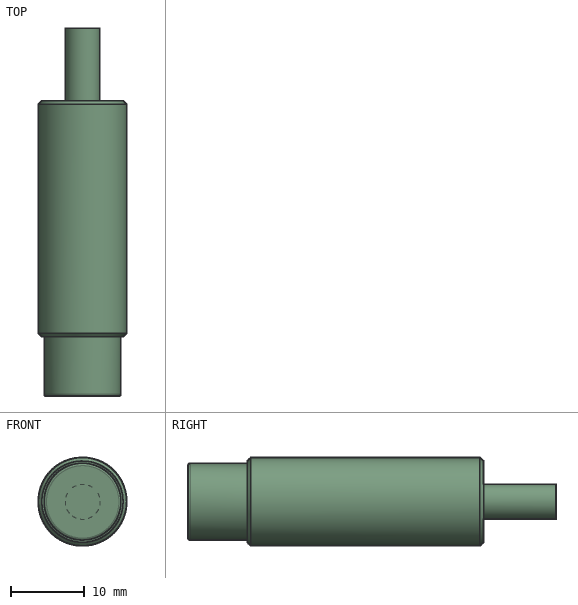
import cadquery as cq

total_length = 49.8
nose_diameter = 10.4
nose_length = 8.0
body_diameter = 12.0
body_length = 31.95
stem_diameter = 4.75
stem_length = total_length - nose_length - body_length

nose_fillet = 0.3
body_chamfer = 0.5


def cylinder_along_y(diameter, length, start_y):
    """Cylinder on the Y axis, running toward +Y from start_y."""
    base = cq.Workplane("XZ", origin=(0, start_y, 0))
    return base.circle(diameter / 2).extrude(-length)


nose = cylinder_along_y(nose_diameter, nose_length, 0)
nose = nose.faces("<Y").fillet(nose_fillet)

body_start = nose_length
body = cylinder_along_y(body_diameter, body_length, body_start)
body = body.faces("<Y or >Y").chamfer(body_chamfer)

stem_start = body_start + body_length
stem = cylinder_along_y(stem_diameter, stem_length, stem_start)

result = nose.union(body).union(stem)